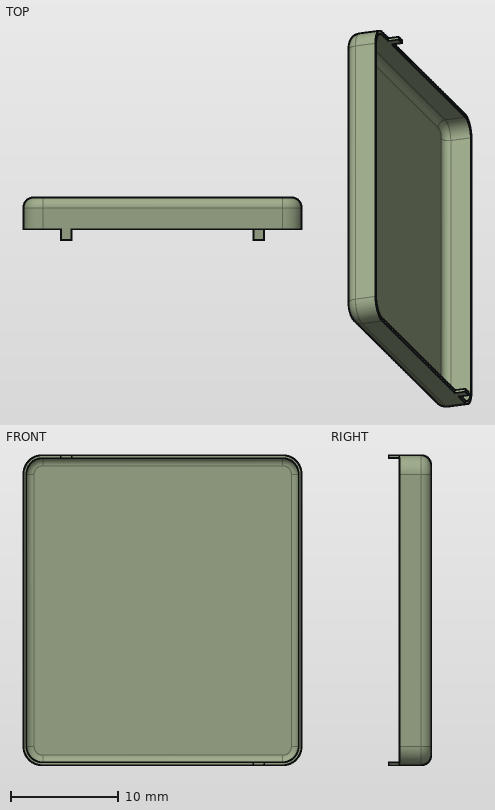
import cadquery as cq

width = 26.0
height = 29.0
tray_depth = 3.0
wall = 0.3
corner_radius = 1.8
floor_edge_radius = 1.0

tab_width = 1.0
tab_length = 1.02
tab_offset = 9.0


def rounded_block(block_width, block_height, depth, upright_radius, edge_radius):
    """Block from the rim plane (Y = 0) to +Y, with a rounded edge at its far face."""
    block = cq.Workplane("XZ").rect(block_width, block_height).extrude(-depth)
    return block.edges("|Y").fillet(upright_radius).faces(">Y").edges().fillet(edge_radius)


def tab(center_x, center_z):
    """Thin tab, as thick as the wall, running down the rim plane toward -Y."""
    return cq.Workplane("XZ").center(center_x, center_z).rect(tab_width, wall).extrude(tab_length)


outer = rounded_block(width, height, tray_depth, corner_radius, floor_edge_radius)
cavity = rounded_block(
    width - 2 * wall,
    height - 2 * wall,
    tray_depth - wall,
    corner_radius - wall,
    floor_edge_radius - wall,
)
tray = outer.cut(cavity)

tab_z = (height - wall) / 2
result = tray.union(tab(-tab_offset, tab_z)).union(tab(tab_offset, -tab_z))